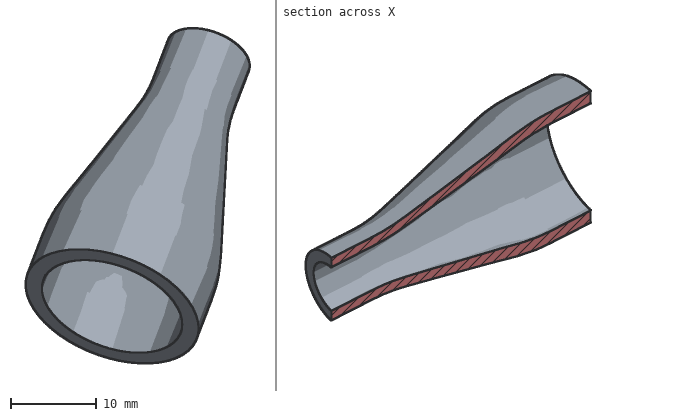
import cadquery as cq
import math

length = 38.0
straight_length = 6.0
wide_outer_radius = 21.3 / 2
wide_bore_radius = 17.3 / 2
narrow_outer_radius = 10.2 / 2
narrow_bore_radius = 7.0 / 2

outer_bend_radius = 19.0
wide_wall = wide_outer_radius - wide_bore_radius
narrow_wall = narrow_outer_radius - narrow_bore_radius
wide_bore_bend_radius = outer_bend_radius - wide_wall
narrow_bore_bend_radius = outer_bend_radius + narrow_wall


def cone_half_angle(radius_change, bend_radius_sum):
    """Slope angle of the cone that is tangent to both bends."""
    taper_length = length - 2 * straight_length
    remainder = bend_radius_sum - radius_change
    hypotenuse = math.hypot(remainder, taper_length)
    return math.atan2(taper_length, remainder) - math.acos(bend_radius_sum / hypotenuse)


def reducer_solid(wide_radius, narrow_radius, wide_bend_radius, narrow_bend_radius):
    """Revolve a cylinder, bend, tangent cone, bend and cylinder about the Y axis."""
    angle = cone_half_angle(wide_radius - narrow_radius, wide_bend_radius + narrow_bend_radius)
    bend_length_ratio = math.sin(angle)
    bend_rise_ratio = 1 - math.cos(angle)

    wide_end = -length / 2
    narrow_end = length / 2
    wide_bend_start = wide_end + straight_length
    narrow_bend_end = narrow_end - straight_length
    cone_start = (
        wide_radius - wide_bend_radius * bend_rise_ratio,
        wide_bend_start + wide_bend_radius * bend_length_ratio,
    )
    cone_end = (
        narrow_radius + narrow_bend_radius * bend_rise_ratio,
        narrow_bend_end - narrow_bend_radius * bend_length_ratio,
    )

    half_profile = (
        cq.Workplane("XY")
        .moveTo(0, wide_end)
        .lineTo(wide_radius, wide_end)
        .lineTo(wide_radius, wide_bend_start)
        .tangentArcPoint(cone_start, relative=False)
        .lineTo(*cone_end)
        .tangentArcPoint((narrow_radius, narrow_bend_end), relative=False)
        .lineTo(narrow_radius, narrow_end)
        .lineTo(0, narrow_end)
        .close()
    )
    return half_profile.revolve(360, (0, 0, 0), (0, 1, 0))


body = reducer_solid(wide_outer_radius, narrow_outer_radius, outer_bend_radius, outer_bend_radius)
bore = reducer_solid(
    wide_bore_radius, narrow_bore_radius, wide_bore_bend_radius, narrow_bore_bend_radius
)

result = body.cut(bore)